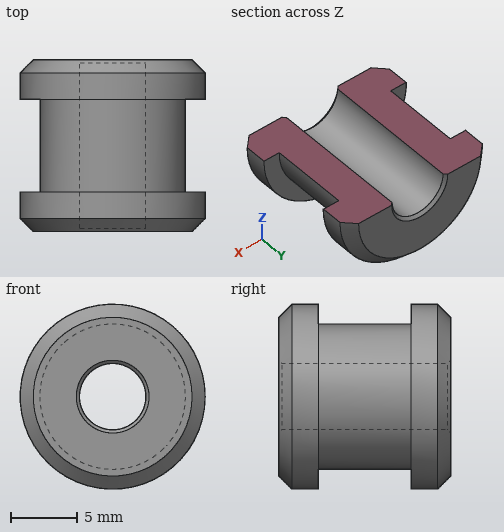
import cadquery as cq

length = 13.0
flange_diameter = 14.0
flange_thickness = 3.0
flange_chamfer = 1.0
barrel_diameter = 11.0
bore_diameter = 5.0
bore_chamfer = 0.25

barrel_length = length - 2 * flange_thickness


def make_flange(outward):
    """Disc at one end of the barrel, chamfered on its outer rim; outward is +1 or -1 along Y."""
    inner_face = cq.Workplane("XZ", origin=(0, outward * barrel_length / 2, 0))
    disc = inner_face.circle(flange_diameter / 2).extrude(-outward * flange_thickness)
    outer_face = ">Y" if outward > 0 else "<Y"
    return disc.faces(outer_face).edges().chamfer(flange_chamfer)


def make_barrel():
    """Narrow cylinder between the two flanges."""
    return cq.Workplane("XZ").circle(barrel_diameter / 2).extrude(barrel_length / 2, both=True)


def make_bore():
    """Through hole along Y, widened by a small chamfer at both mouths."""
    half_length = length / 2
    bore_radius = bore_diameter / 2
    mouth_radius = bore_radius + bore_chamfer
    profile = [
        (0, -half_length),
        (mouth_radius, -half_length),
        (bore_radius, -half_length + bore_chamfer),
        (bore_radius, half_length - bore_chamfer),
        (mouth_radius, half_length),
        (0, half_length),
    ]
    return cq.Workplane("XY").polyline(profile).close().revolve(360, (0, 0, 0), (0, 1, 0))


spool = make_barrel()
for outward in (-1, 1):
    spool = spool.union(make_flange(outward))

result = spool.cut(make_bore())